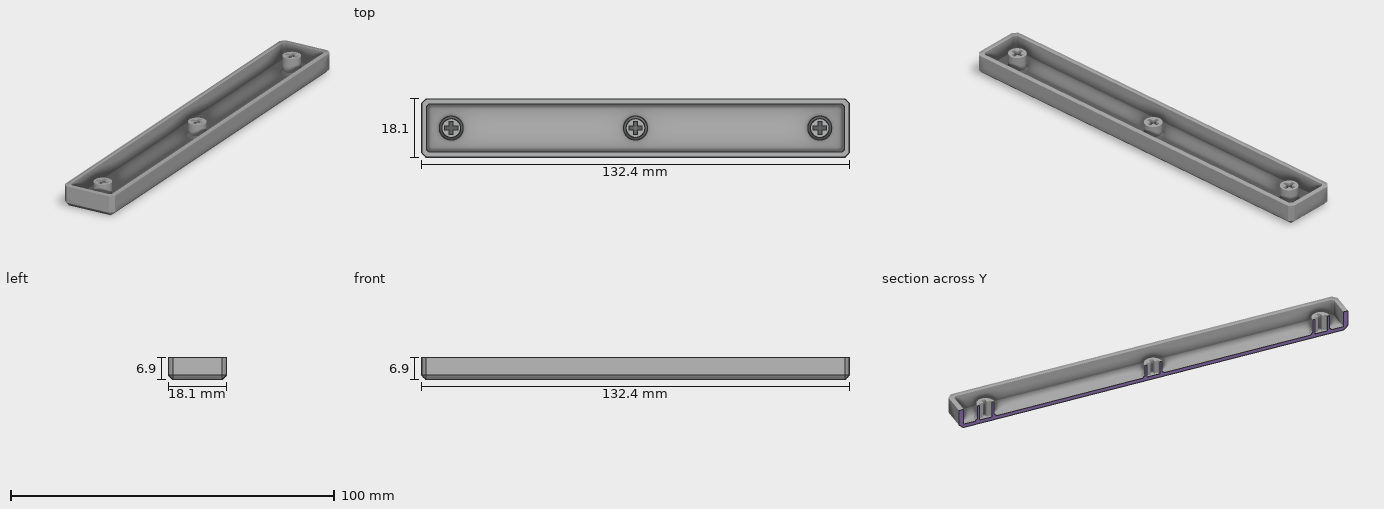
import cadquery as cq

LENGTH = 132.35
WIDTH = 18.05
HEIGHT = 6.9
EDGE_CHAMFER = 1.4
WALL = 1.6
FLOOR = 1.4
CAVITY_CHAMFER = 0.7

STEM_SPACING = 57.0
STEM_DIAMETER = 5.8
STEM_BASE_CHAMFER = 0.8
END_STEM_TOP = HEIGHT
MIDDLE_STEM_TOP = 5.9
CROSS_LENGTH = 4.1
CROSS_WIDTH = 1.25


def make_shell():
    """Open tray with chamfered outer edges and a cavity with chamfered corners."""
    body = (
        cq.Workplane("XY")
        .box(LENGTH, WIDTH, HEIGHT, centered=(True, True, False))
        .edges("|Z or <Z")
        .chamfer(EDGE_CHAMFER)
    )
    cavity = (
        cq.Workplane("XY")
        .workplane(offset=FLOOR)
        .rect(LENGTH - 2 * WALL, WIDTH - 2 * WALL)
        .extrude(HEIGHT - FLOOR)
        .edges("|Z")
        .chamfer(CAVITY_CHAMFER)
    )
    return body.cut(cavity)


def make_stem(top):
    """Round stem on the Z axis, flared at its base, with a cross socket down to the floor."""
    radius = STEM_DIAMETER / 2
    post = (
        cq.Workplane("XZ")
        .moveTo(0, FLOOR)
        .lineTo(radius + STEM_BASE_CHAMFER, FLOOR)
        .lineTo(radius, FLOOR + STEM_BASE_CHAMFER)
        .lineTo(radius, top)
        .lineTo(0, top)
        .close()
        .revolve(360, (0, 0, 0), (0, 1, 0))
    )
    socket_floor = cq.Workplane("XY").workplane(offset=FLOOR)
    socket_depth = top - FLOOR
    bar = socket_floor.rect(CROSS_LENGTH, CROSS_WIDTH).extrude(socket_depth)
    crossbar = socket_floor.rect(CROSS_WIDTH, CROSS_LENGTH).extrude(socket_depth)
    return post.cut(bar).cut(crossbar)


middle_stem = make_stem(MIDDLE_STEM_TOP)
end_stem = make_stem(END_STEM_TOP)

result = make_shell().union(middle_stem)
for side in (-1, 1):
    result = result.union(end_stem.translate((side * STEM_SPACING, 0, 0)))